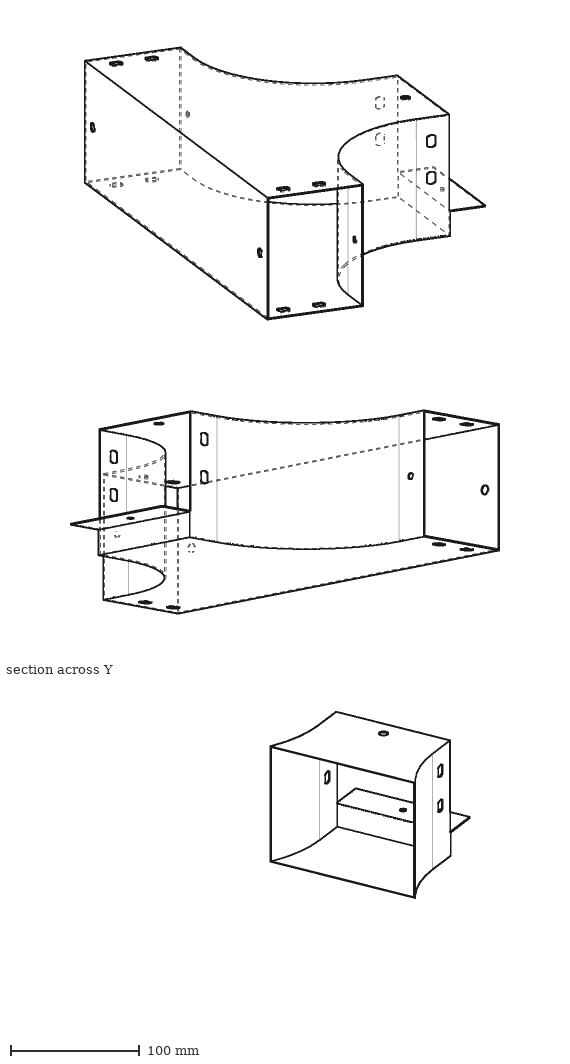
import cadquery as cq

length = 358.0
total_depth = 239.0
height = 100.0
sheet = 1.0
branch_width = 102.0
corner_radius = 100.0

flange_reach = 30.5
flange_top = 21.0

body_depth = total_depth - flange_reach
front_y = -total_depth / 2
branch_end_y = front_y + body_depth
flange_end_y = branch_end_y + flange_reach
run_depth = 81.0

hole_inset = 15.0
screw_diameter = 5.0
access_diameter = 7.0
slot_width = 7.0
slot_length = 10.0
first_slot_inset = 20.0
slot_spacing = 30.0
slot_insets = [first_slot_inset, first_slot_inset + slot_spacing]
hole_x = length / 2 - hole_inset
hole_y = branch_end_y - hole_inset


def tee_prism(inset, overrun, bottom_z, top_z):
    """Tee-shaped prism with its walls inset and its three open ends extended."""
    end_x = length / 2 + overrun
    run_back_y = front_y + run_depth - inset
    half_branch = branch_width / 2 - inset
    end_y = branch_end_y + overrun
    radius = corner_radius + inset
    arc_x = half_branch + radius
    arc_y = run_back_y + radius
    outline = (
        cq.Workplane("XY", origin=(0, 0, bottom_z))
        .moveTo(-end_x, front_y + inset)
        .lineTo(end_x, front_y + inset)
        .lineTo(end_x, run_back_y)
        .lineTo(arc_x, run_back_y)
        .radiusArc((half_branch, arc_y), radius)
        .lineTo(half_branch, end_y)
        .lineTo(-half_branch, end_y)
        .lineTo(-half_branch, arc_y)
        .radiusArc((-arc_x, run_back_y), radius)
        .lineTo(-end_x, run_back_y)
        .close()
    )
    return outline.extrude(top_z - bottom_z)


def joining_flange():
    """Upright lip across the branch floor, bent outward into a level flange."""
    lip_y = branch_end_y + sheet
    bend_z = flange_top - sheet
    profile = (
        cq.Workplane("YZ")
        .moveTo(branch_end_y - sheet, 0)
        .lineTo(lip_y, 0)
        .lineTo(lip_y, bend_z)
        .lineTo(flange_end_y, bend_z)
        .lineTo(flange_end_y, flange_top)
        .lineTo(branch_end_y, flange_top)
        .lineTo(branch_end_y, sheet)
        .lineTo(branch_end_y - sheet, sheet)
        .close()
    )
    return profile.extrude(branch_width / 2, both=True)


def slot_cutters(workplane, points, depth, both):
    """Slots with straight sides and shallow ends: discs trimmed to the slot width."""
    discs = workplane.pushPoints(points).circle(slot_length / 2).extrude(depth, both=both)
    strips = workplane.pushPoints(points).rect(slot_width, slot_length).extrude(depth, both=both)
    return discs.intersect(strips)


def vertical_hole(y, bottom_z, top_z, diameter):
    return cq.Workplane("XY", origin=(0, y, bottom_z)).circle(diameter / 2).extrude(top_z - bottom_z)


duct = tee_prism(0, 0, 0, height).cut(tee_prism(sheet, sheet, sheet, height - sheet))
result = duct.union(joining_flange())

run_slot_points = [(x, front_y + inset) for x in (-hole_x, hole_x) for inset in slot_insets]
result = result.cut(slot_cutters(cq.Workplane("XY"), run_slot_points, height, False))

branch_slot_points = [(hole_y, height - inset) for inset in slot_insets]
result = result.cut(slot_cutters(cq.Workplane("YZ"), branch_slot_points, branch_width, True))

for x in (-hole_x, hole_x):
    hole_start = cq.Workplane("XZ", origin=(x, front_y, height / 2))
    result = result.cut(hole_start.circle(access_diameter / 2).extrude(-run_depth / 2))
    result = result.cut(hole_start.circle(screw_diameter / 2).extrude(-run_depth))

result = result.cut(vertical_hole(hole_y, height / 2, height, access_diameter))
result = result.cut(vertical_hole(flange_end_y - hole_inset, 0, flange_top, screw_diameter))